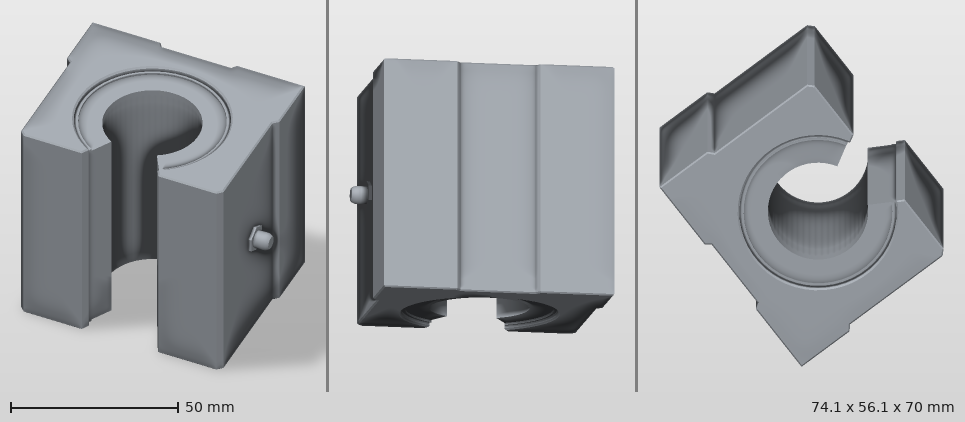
import cadquery as cq
import math


BLOCK_WIDTH = 70.0
BLOCK_LENGTH = 70.0
BACK_TO_AXIS = 33.0
FRONT_TO_AXIS = 23.05
SIDE_STEP = 1.6
SHOULDER_LENGTH = 18.1
SHOULDER_SLOPE_LENGTH = 1.5
CORNER_CHAMFER = 1.6
END_EDGE_CHAMFER = 0.45
OPENING_HALF_WIDTH = 11.4
GROOVE_DEPTH = 1.6
FLARE_DEPTH = 2.1
FLARE_ANGLE = 30
BORE_CHAMFER = 0.5

BEARING_DIAMETER = 47.05
SHAFT_DIAMETER = 30.0
BEARING_LENGTH = 67.7
BEARING_CHAMFER = 0.6
RIM_INNER_DIAMETER = 44.45
RIM_HEIGHT = 0.7
BEARING_GAP_HALF_ANGLE = 30

HEX_ACROSS_FLATS = 7.5
HEX_THICKNESS = 1.0
NIPPLE_ROOT_DIAMETER = 5.2
NIPPLE_DIAMETER = 5.5
NIPPLE_TIP_DIAMETER = 3.9
NIPPLE_LENGTH = 5.7
NIPPLE_TIP_START = 3.8

HALF_WIDTH = BLOCK_WIDTH / 2
FRONT_HALF_WIDTH = HALF_WIDTH - SIDE_STEP
SHOULDER_Y = BACK_TO_AXIS - SHOULDER_LENGTH
FLARED_HALF_WIDTH = OPENING_HALF_WIDTH + FLARE_DEPTH * math.tan(math.radians(FLARE_ANGLE))
BLOCK_END = BLOCK_LENGTH / 2
BEARING_END = BEARING_LENGTH / 2
BEARING_RADIUS = BEARING_DIAMETER / 2


def make_housing_blank():
    """Mirrored block outline with its front opening, chamfered around both ends."""
    right_half = [
        (OPENING_HALF_WIDTH, 0),
        (OPENING_HALF_WIDTH, FLARE_DEPTH - FRONT_TO_AXIS),
        (FLARED_HALF_WIDTH, -FRONT_TO_AXIS),
        (FRONT_HALF_WIDTH - CORNER_CHAMFER, -FRONT_TO_AXIS),
        (FRONT_HALF_WIDTH, CORNER_CHAMFER - FRONT_TO_AXIS),
        (FRONT_HALF_WIDTH, SHOULDER_Y - SHOULDER_SLOPE_LENGTH),
        (HALF_WIDTH, SHOULDER_Y),
        (HALF_WIDTH, BACK_TO_AXIS),
        (FLARED_HALF_WIDTH, BACK_TO_AXIS),
        (OPENING_HALF_WIDTH, BACK_TO_AXIS - GROOVE_DEPTH),
    ]
    left_half = [(-x, y) for x, y in reversed(right_half)]
    blank = cq.Workplane("XY").polyline(right_half + left_half).close().extrude(BLOCK_END, both=True)
    return blank.faces("|Z").chamfer(END_EDGE_CHAMFER)


def make_bore_cutter():
    """Solid of revolution for the bearing seat, widening at both ends into a chamfer."""
    mouth_radius = BEARING_RADIUS + BORE_CHAMFER
    seat_end = BLOCK_END - BORE_CHAMFER
    profile = [
        (0, -BLOCK_END),
        (mouth_radius, -BLOCK_END),
        (BEARING_RADIUS, -seat_end),
        (BEARING_RADIUS, seat_end),
        (mouth_radius, BLOCK_END),
        (0, BLOCK_END),
    ]
    return cq.Workplane("XZ").polyline(profile).close().revolve(360, (0, 0, 0), (0, 1, 0))


def make_housing():
    return make_housing_blank().cut(make_bore_cutter())


def make_bearing():
    """Thick sleeve with raised end rims and a wedge-shaped gap facing -Y."""
    sleeve = cq.Workplane("XY").circle(BEARING_RADIUS).extrude(BEARING_END, both=True)
    sleeve = sleeve.faces("|Z").chamfer(BEARING_CHAMFER)
    shaft_hole = cq.Workplane("XY").circle(SHAFT_DIAMETER / 2).extrude(BEARING_END, both=True)
    sleeve = sleeve.cut(shaft_hole)

    for recess_bottom in (BEARING_END - RIM_HEIGHT, -BEARING_END):
        recess = cq.Workplane("XY", origin=(0, 0, recess_bottom)).circle(RIM_INNER_DIAMETER / 2)
        sleeve = sleeve.cut(recess.extrude(RIM_HEIGHT))

    wedge_depth = BEARING_DIAMETER
    wedge_half_width = wedge_depth * math.tan(math.radians(BEARING_GAP_HALF_ANGLE))
    gap_outline = [(0, 0), (wedge_half_width, -wedge_depth), (-wedge_half_width, -wedge_depth)]
    gap = cq.Workplane("XY").polyline(gap_outline).close().extrude(BEARING_END, both=True)
    return sleeve.cut(gap)


def make_nipple():
    """Hexagon base with two corners along Z, carrying a slightly flared round stem with a rounded tip."""
    hex_corner_diameter = HEX_ACROSS_FLATS / math.cos(math.radians(30))
    base_plane = cq.Workplane("YZ", origin=(FRONT_HALF_WIDTH, 0, 0))
    base = base_plane.transformed(rotate=(0, 0, 90)).polygon(6, hex_corner_diameter).extrude(HEX_THICKNESS)

    root_radius = NIPPLE_ROOT_DIAMETER / 2
    stem_radius = NIPPLE_DIAMETER / 2
    tip_radius = NIPPLE_TIP_DIAMETER / 2
    stem = (
        cq.Workplane("XZ", origin=(FRONT_HALF_WIDTH, 0, 0))
        .lineTo(0, root_radius)
        .lineTo(NIPPLE_TIP_START, stem_radius)
        .tangentArcPoint((NIPPLE_LENGTH, tip_radius), relative=False)
        .lineTo(NIPPLE_LENGTH, 0)
        .close()
        .revolve(360, (0, 0, 0), (1, 0, 0))
    )
    return base.union(stem)


housing = make_housing()
bearing = make_bearing()
nipple = make_nipple()

result = cq.Compound.makeCompound([housing.val(), bearing.val(), nipple.val()])